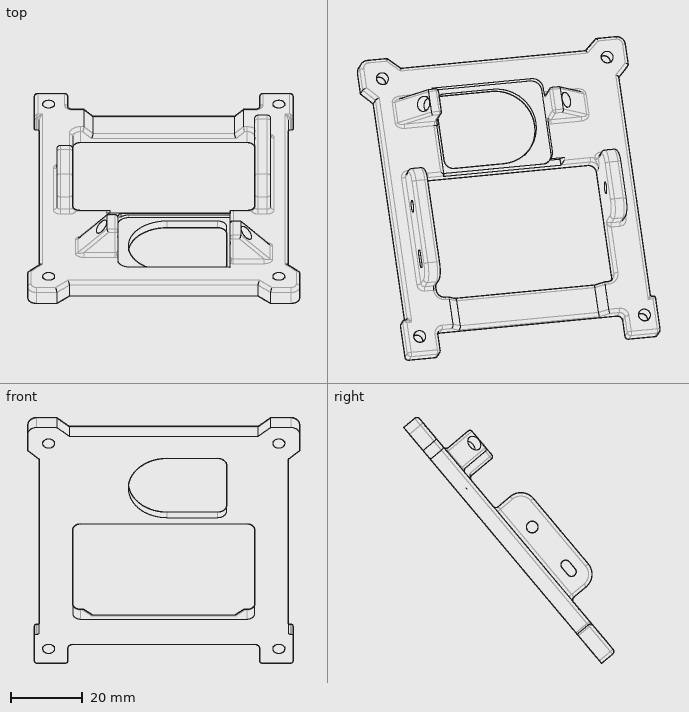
import cadquery as cq
import math


tilt = 50.0
thickness = 5.0
length = 85.5
edge_round = 1.0
small_round = 0.5
foot_round = 1.0
bracket_round = 0.75
overlap = 0.75
near = 0.01

body_half = 34.6
pad_half = 37.8
pad_side_end = 8.4
pad_corner_radius = 2.5
pad_inner = 29.7
rail_half = 26.2
rail_setback = 3.2
leg_half = 35.95
leg_inner = 26.6
leg_start = length - 10.6
notch_edge = length - 6.9
notch_round = 1.35

screw_diameter = 3.3
screw_x = 31.95
screw_rows = (5.8, 80.2)

window_half = 25.2
window_top = 35.0
window_bottom = 69.5
window_round = 2.1

floor_height = thickness / 2
recess_half = 19.65

pocket_left = -12.8
pocket_right = 18.4
pocket_top = 9.9
pocket_bottom = 34.15
pocket_round = 3.0
pocket_center = (pocket_left + pocket_right) / 2
opening_center_x = 0.9
opening_center_y = 22.0
opening_radius = 10.7
opening_right = 17.45
opening_round = 2.5

rim_height = 3.5
rim_start = 33.2
rim_left = -14.9

ear_thickness = 4.45
ear_top = 14.95
ear_round = 4.5
ear_upper_end = length - 51.8
left_ear_lower_end = length - 32.2
right_ear_lower_end = length - 19.0
pivot_y = length - 41.4
pivot_z = 9.6
pivot_diameter = 3.2
slot_y = length - 26.1
slot_z = 10.0
slot_width = 2.6
slot_length = 5.05

bracket_length = 7.4
bracket_top = 13.9
bracket_cap = 2.95
bracket_reach = 11.3
left_bracket_y = length - 70.55
right_bracket_y = length - 73.3
bracket_hole_diameter = 4.2
bracket_hole_depth = 3.0
bracket_hole_along = 2.3


def block(x0, x1, y0, y1, z0, z1):
    size = (x1 - x0, y1 - y0, z1 - z0)
    return cq.Workplane("XY").box(*size, centered=False).translate((x0, y0, z0))


def within(body, x0, x1, y0, y1, z0, z1):
    """Edges of the body that lie wholly inside the given box."""
    box = cq.selectors.BoxSelector(
        (x0 - near, y0 - near, z0 - near), (x1 + near, y1 + near, z1 + near), boundingbox=True
    )
    return body.edges(box)


def runs_down_slope(edge):
    return edge.geomType() == "LINE" and abs(edge.tangentAt(0.5).y) > 0.75 - near


def plate_blank():
    half = [
        (rail_half, rail_setback),
        (pad_inner, 0),
        (pad_half, 0),
        (pad_half, pad_side_end),
        (body_half, pad_side_end + pad_half - body_half),
        (body_half, leg_start),
        (leg_half, leg_start),
        (leg_half, length),
        (leg_inner, length),
        (leg_inner, notch_edge),
    ]
    mirrored = [(-x, y) for x, y in reversed(half)]
    blank = cq.Workplane("XY").polyline(half + mirrored).close().extrude(thickness)
    rounded_corners = (
        (pad_half, 0, pad_corner_radius),
        (leg_inner, notch_edge, notch_round),
        (leg_half, length, edge_round),
        (leg_inner, length, edge_round),
    )
    for x, y, radius in rounded_corners:
        for side in (-1, 1):
            blank = within(blank, side * x, side * x, y, y, 0, thickness).fillet(radius)
    return blank


def window():
    return (
        block(-window_half, window_half, window_top, window_bottom, -overlap, thickness + overlap)
        .edges("|Z")
        .fillet(window_round)
    )


def rail_recess():
    shoulder = recess_half + thickness - floor_height
    return (
        cq.Workplane("XZ", origin=(0, length, 0))
        .moveTo(-recess_half, floor_height)
        .lineTo(recess_half, floor_height)
        .lineTo(shoulder, thickness)
        .lineTo(-shoulder, thickness)
        .close()
        .extrude(length - window_bottom + window_round)
    )


def round_upper_edges(body):
    """Round the upper rims of the plate and window, leaving the recess creases sharp."""

    def is_crease(edge):
        return runs_down_slope(edge) and abs(edge.Center().x) < window_half - window_round

    upper = within(body, -pad_half, pad_half, 0, length, floor_height, thickness)
    return body.newObject([edge for edge in upper.vals() if not is_crease(edge)]).fillet(edge_round)


def round_leg_steps(body):
    for side in (-1, 1):
        x0, x1 = sorted((side * body_half, side * leg_half))
        steps = within(body, x0, x1, leg_start, leg_start, 0, thickness - edge_round).edges("|Z")
        body = steps.fillet(small_round)
    return body


def pocket():
    return (
        block(pocket_left, pocket_right, pocket_top, pocket_bottom, floor_height, thickness + overlap)
        .edges("|Z and <X")
        .fillet(pocket_round)
    )


def opening():
    upper_y = opening_center_y - opening_radius
    lower_y = opening_center_y + opening_radius
    return (
        cq.Workplane("XY", origin=(0, 0, -overlap))
        .moveTo(opening_center_x, upper_y)
        .lineTo(opening_right, upper_y)
        .lineTo(opening_right, lower_y)
        .lineTo(opening_center_x, lower_y)
        .threePointArc((opening_center_x - opening_radius, opening_center_y), (opening_center_x, upper_y))
        .close()
        .extrude(thickness)
        .edges("|Z and >X")
        .fillet(opening_round)
    )


def flared_cut(left, right, floor, start_y):
    """A channel open to the window whose upper side edges are rolled over by edge_round."""
    roll = edge_round * (1 - math.sqrt(0.5))
    shoulder = thickness - edge_round
    end_y = window_top + window_round
    return (
        cq.Workplane("XZ", origin=(0, end_y, 0))
        .moveTo(left, floor)
        .lineTo(right, floor)
        .lineTo(right, shoulder)
        .threePointArc((right + roll, thickness - roll), (right + edge_round, thickness))
        .lineTo(left - edge_round, thickness)
        .threePointArc((left - roll, thickness - roll), (left, shoulder))
        .close()
        .extrude(end_y - start_y)
    )


def add_ear(body, side, lower_end):
    x0, x1 = sorted((side * window_half, side * (window_half + ear_thickness)))
    blank = block(x0, x1, ear_upper_end, lower_end, 0, ear_top).edges("|X and >Z").fillet(ear_round)
    rims = [edge for edge in blank.faces("<X or >X").edges().vals() if edge.Center().z > near]
    body = body.union(blank.newObject(rims).fillet(edge_round))
    foot = within(body, x0, x1, ear_upper_end, lower_end, thickness, thickness)
    foot = [edge for edge in foot.vals() if abs(edge.Center().x) > window_half + near]
    return body.newObject(foot).fillet(foot_round)


def bracket_hole(side, cap_x, toe_x, y):
    """Blind round hole square to the bracket's ramp."""
    ramp = cq.Vector(toe_x - cap_x, 0, thickness - bracket_top).normalized()
    inward = cq.Vector(side * ramp.z, 0, -side * ramp.x)
    center = cq.Vector(cap_x, y, bracket_top) + ramp * bracket_hole_along
    entry = center - inward * overlap
    cutter = cq.Solid.makeCylinder(bracket_hole_diameter / 2, bracket_hole_depth + overlap, entry, inward)
    return cq.Workplane(cutter)


def add_bracket(body, side, inner_x, start_y):
    end_y = start_y + bracket_length
    toe_x = inner_x + side * bracket_reach
    cap_x = inner_x + side * bracket_cap
    blank = (
        cq.Workplane("XZ", origin=(inner_x, start_y, 0))
        .moveTo(0, floor_height)
        .lineTo(0, bracket_top)
        .lineTo(side * bracket_cap, bracket_top)
        .lineTo(side * bracket_reach, thickness)
        .lineTo(side * bracket_reach, floor_height)
        .close()
        .extrude(-bracket_length)
    )
    body = body.union(blank)
    x0, x1 = sorted((inner_x, toe_x))

    def is_cap_crease(edge):
        return runs_down_slope(edge) and abs(edge.Center().x - cap_x) < near

    upper = within(body, x0, x1, start_y, end_y, thickness, bracket_top)
    upper = [e for e in upper.vals() if e.Center().z > thickness + near and not is_cap_crease(e)]
    body = body.newObject(upper).fillet(bracket_round)
    body = within(body, x0, x1, start_y, end_y, thickness, thickness).fillet(foot_round)
    return body.cut(bracket_hole(side, cap_x, toe_x, start_y + bracket_length / 2))


def screw_holes():
    points = [(side * screw_x, y) for side in (-1, 1) for y in screw_rows]
    return cq.Workplane("XY").pushPoints(points).circle(screw_diameter / 2).extrude(thickness)


def pivot_hole():
    """One bore through both ears."""
    axis_plane = cq.Workplane("YZ", origin=(-pad_half, 0, 0))
    return axis_plane.center(pivot_y, pivot_z).circle(pivot_diameter / 2).extrude(2 * pad_half)


def adjusting_slot():
    """Slot through the longer, right-hand ear."""
    axis_plane = cq.Workplane("YZ")
    return axis_plane.center(slot_y, slot_z).slot2D(slot_length, slot_width).extrude(pad_half)


body = plate_blank().cut(rail_recess()).cut(window())
body = round_upper_edges(body)
body = round_leg_steps(body)
body = body.cut(pocket()).cut(opening())
body = add_ear(body, -1, left_ear_lower_end)
body = add_ear(body, 1, right_ear_lower_end)
body = add_bracket(body, -1, pocket_left, left_bracket_y)
body = add_bracket(body, 1, pocket_right, right_bracket_y)
body = body.cut(flared_cut(rim_left, pocket_right, rim_height, rim_start))
right_bracket_foot = right_bracket_y + bracket_length + foot_round
body = body.cut(flared_cut(pocket_center, pocket_right, rim_height, right_bracket_foot))
body = body.cut(screw_holes()).cut(pivot_hole()).cut(adjusting_slot())
result = body.rotate((0, 0, 0), (1, 0, 0), -tilt)